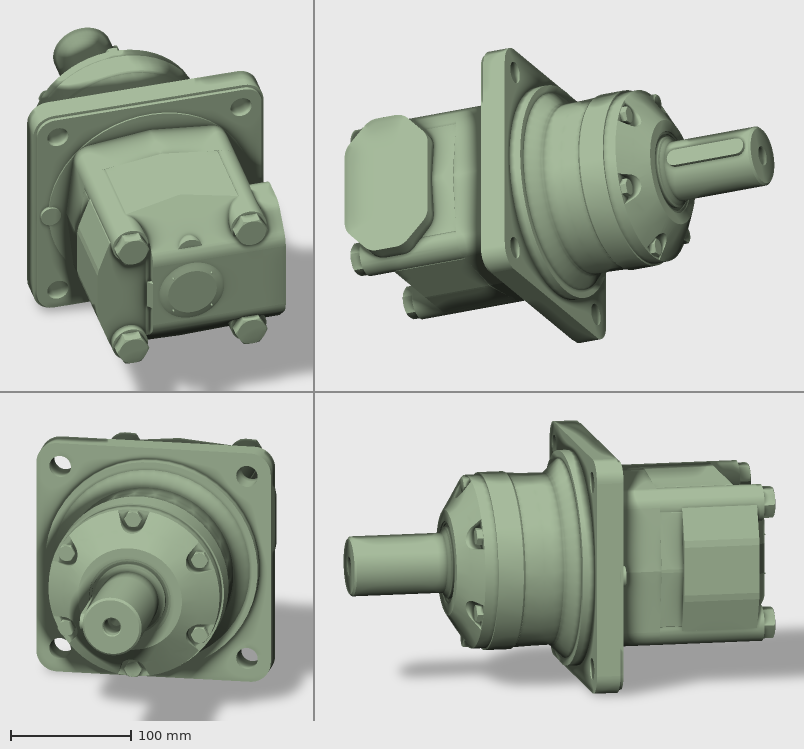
import cadquery as cq
import math


SHAFT_SHOULDER_X = 78.2
COVER_FRONT_X = 82.5
COVER_RIM_X = 101.0
RING_FRONT_X = 111.8
HOUSING_FRONT_X = 135.0
NECK_END_X = 167.3
CONE_START_X = 169.0
PILOT_FRONT_X = 180.2
FLANGE_FRONT_X = 190.0
FLANGE_BACK_X = 210.0
GEAR_SET_FRONT_X = 214.5
END_COVER_FRONT_X = 250.0
BOSS_END_X = 338.8
END_COVER_BACK_X = 345.5
TOTAL_LENGTH = 349.3

SHAFT_DIA = 50.0
JOURNAL_DIA = 60.0
SHAFT_CHAMFER = 1.7
SHOULDER_CONE_DIA = 56.5
SHOULDER_CONE_LENGTH = 2.8
SHOULDER_LIP_LENGTH = 0.7
CENTRE_SINK_DIA = 16.5
CENTRE_HOLE_DIA = 14.5
CENTRE_HOLE_DEPTH = 21.0
CENTRE_TIP_DIA = 10.0
KEY_START_X = 4.5
KEY_LENGTH = 70.2
KEY_WIDTH = 14.0
KEY_HEIGHT = 9.0
KEY_TOP_Y = 28.0

COVER_RADIUS = 72.3
COVER_FACE_RADIUS = 44.0
SEAL_RADIUS = 32.5
SEAL_DEPTH = 2.0
SEAL_STEP_RADIUS = 34.5
SEAL_STEP_DEPTH = 1.0
SCREW_COUNT = 6
SCREW_CIRCLE_RADIUS = 65.0
SCREW_ACROSS_FLATS = 13.0
SCREW_HEAD_HEIGHT = 5.2
POCKET_RADIUS = 10.5
POCKET_FLARE = 20.0

RING_RADIUS = 74.0
RING_CHAMFER = 1.7

NECK_FRONT_RADIUS = 72.5
NECK_BACK_RADIUS = 71.5
CONE_START_RADIUS = 72.5
CONE_END_RADIUS = 83.0
PILOT_RADIUS = 89.8
FLANGE_SIDE = 198.0
FLANGE_CORNER_RADIUS = 17.5
FLANGE_BACK_INSET = 2.5
FLANGE_STEP_X = 213.0
BACK_DISC_RADIUS = 87.3
MOUNT_HOLE_DIA = 18.0
MOUNT_HOLE_OFFSET = 79.0

PLUG_DIA = 17.0
PLUG_Y = -85.5
PLUG_END_X = 216.2

BOLT_OFFSET = 51.0
BOSS_RADIUS = 30.5 / 2
GEAR_RIDGE_HEIGHT = 72.0
COVER_RIDGE_HEIGHT = 72.5
RIDGE_HALF_WIDTH = 1.5
SIDE_EDGE_OFFSET = 48.2
SIDE_EDGE_HEIGHT = 66.5

BOLT_ACROSS_FLATS = 24.0
BOLT_HEAD_END_X = 348.5

PORT_PAD_LENGTH = 76.0
PORT_PAD_HEIGHT = 118.8
PORT_PAD_CHAMFER = 23.0
PORT_PAD_ROUND = 15.7
PORT_PAD_Y = 81.0

BLOCK_START_X = 268.5
BLOCK_END_X = 332.2
BLOCK_FACE_Y = -77.5
BLOCK_FACE_HALF = 20.3
BLOCK_STRIP_Y = -76.5
BLOCK_STRIP_HALF = 26.0
BLOCK_EDGE_Y = -67.0
BLOCK_EDGE_HALF = 52.0

BUMP_RADIUS = 11.0
BUMP_Z = 37.7
BUMP_END_X = 341.0
CAP_RADIUS = 28.0
CAP_TOP_RADIUS = 21.0
CAP_END_X = 348.0
PIP_DIA = 1.5
PIP_OFFSET = 16.5
LUG_START_X = 341.0
LUG_WIDTH = 25.0
LUG_OUTER_Y = -37.5
RELIEF_STEP_Y = -36.5
RELIEF_STEP_X = 334.5
RELIEF_Y = -33.2

CORNER_SIGNS = [(-1, -1), (-1, 1), (1, -1), (1, 1)]


def cross_section(x):
    """Workplane across the X axis at x, with local axes along Y and Z and normal along +X."""
    return cq.Workplane("YZ", origin=(x, 0, 0))


def cylinder(x_start, x_end, radius, y=0.0, z=0.0):
    """Cylinder along X."""
    return cross_section(x_start).center(y, z).circle(radius).extrude(x_end - x_start)


def turned(profile):
    """Solid of revolution about X from (x, radius) points that start and end on the axis."""
    return cq.Workplane("XY").polyline(profile).close().revolve(360, (0, 0, 0), (1, 0, 0))


def hex_head(x_seat, x_end, across_flats, y, z, outward):
    """Hexagonal head with corners towards +Y and -Y; outward is the X direction of its free end."""
    corner_radius = across_flats / math.sqrt(3)
    height = abs(x_end - x_seat)
    prism = cq.Workplane("YZ").polygon(6, 2 * corner_radius).extrude(outward * height)
    chamfer = (corner_radius - across_flats / 2) * math.tan(math.radians(30))
    envelope = turned([
        (0, 0),
        (0, corner_radius),
        (outward * (height - chamfer), corner_radius),
        (outward * height, across_flats / 2),
        (outward * height, 0),
    ])
    return prism.intersect(envelope).translate((x_seat, y, z))


def make_key():
    key = (
        cq.Workplane("XZ", origin=(KEY_START_X + KEY_LENGTH / 2, KEY_TOP_Y, 0))
        .slot2D(KEY_LENGTH, KEY_WIDTH)
        .extrude(KEY_HEIGHT)
    )
    return key


def make_shaft(key):
    shaft_radius = SHAFT_DIA / 2
    journal_radius = JOURNAL_DIA / 2
    cone_end_x = SHAFT_SHOULDER_X + SHOULDER_CONE_LENGTH
    sink_depth = (CENTRE_SINK_DIA - CENTRE_HOLE_DIA) / 2
    tip_radius = CENTRE_TIP_DIA / 2
    hole_radius = CENTRE_HOLE_DIA / 2
    shaft = turned([
        (0, 0),
        (0, shaft_radius - SHAFT_CHAMFER),
        (SHAFT_CHAMFER, shaft_radius),
        (SHAFT_SHOULDER_X, shaft_radius),
        (cone_end_x, SHOULDER_CONE_DIA / 2),
        (cone_end_x + SHOULDER_LIP_LENGTH, journal_radius),
        (RING_FRONT_X, journal_radius),
        (RING_FRONT_X, 0),
    ])
    centre_hole = turned([
        (0, 0),
        (0, CENTRE_SINK_DIA / 2),
        (sink_depth, hole_radius),
        (CENTRE_HOLE_DEPTH, hole_radius),
        (CENTRE_HOLE_DEPTH, tip_radius),
        (CENTRE_HOLE_DEPTH + tip_radius, 0),
    ])
    return shaft.cut(centre_hole).cut(key)


def screw_pocket():
    """Cutter for the screw pocket on the +Y side: a round end whose sides flare outwards."""
    flare = math.radians(POCKET_FLARE)
    tangent_y = SCREW_CIRCLE_RADIUS - POCKET_RADIUS * math.sin(flare)
    tangent_z = POCKET_RADIUS * math.cos(flare)
    outer_y = COVER_RADIUS + 3.5
    outer_z = tangent_z + (outer_y - tangent_y) * math.tan(flare)
    return (
        cross_section(COVER_FRONT_X)
        .moveTo(outer_y, outer_z)
        .lineTo(tangent_y, tangent_z)
        .threePointArc((SCREW_CIRCLE_RADIUS - POCKET_RADIUS, 0), (tangent_y, -tangent_z))
        .lineTo(outer_y, -outer_z)
        .close()
        .extrude(COVER_RIM_X - COVER_FRONT_X)
    )


def make_front_cover():
    cover = turned([
        (COVER_FRONT_X, 0),
        (COVER_FRONT_X, COVER_FACE_RADIUS),
        (COVER_RIM_X, COVER_RADIUS),
        (RING_FRONT_X, COVER_RADIUS),
        (RING_FRONT_X, 0),
    ])
    cover = cover.cut(cylinder(COVER_FRONT_X, RING_FRONT_X, JOURNAL_DIA / 2))
    cover = cover.cut(cylinder(COVER_FRONT_X, COVER_FRONT_X + SEAL_DEPTH, SEAL_RADIUS))
    cover = cover.cut(cylinder(COVER_FRONT_X, COVER_FRONT_X + SEAL_STEP_DEPTH, SEAL_STEP_RADIUS))
    for i in range(SCREW_COUNT):
        angle = 90 + i * 360 / SCREW_COUNT
        y = SCREW_CIRCLE_RADIUS * math.cos(math.radians(angle))
        z = SCREW_CIRCLE_RADIUS * math.sin(math.radians(angle))
        cover = cover.cut(screw_pocket().rotate((0, 0, 0), (1, 0, 0), angle))
        head_end_x = COVER_RIM_X - SCREW_HEAD_HEIGHT
        cover = cover.union(hex_head(COVER_RIM_X, head_end_x, SCREW_ACROSS_FLATS, y, z, -1))
    return cover


def make_ring():
    ring = cylinder(RING_FRONT_X, HOUSING_FRONT_X, RING_RADIUS)
    return ring.faces(">X").edges().chamfer(RING_CHAMFER)


def square_plate(x_start, x_end, side, corner_radius):
    plate = cross_section(x_start).rect(side, side).extrude(x_end - x_start)
    return plate.edges("|X").fillet(corner_radius)


def make_housing(plug):
    neck = turned([
        (HOUSING_FRONT_X, 0),
        (HOUSING_FRONT_X, NECK_FRONT_RADIUS),
        (NECK_END_X, NECK_BACK_RADIUS),
        (CONE_START_X, CONE_START_RADIUS),
        (PILOT_FRONT_X, CONE_END_RADIUS),
        (PILOT_FRONT_X, PILOT_RADIUS),
        (FLANGE_FRONT_X, PILOT_RADIUS),
        (FLANGE_FRONT_X, 0),
    ])
    flange = square_plate(FLANGE_FRONT_X, FLANGE_BACK_X, FLANGE_SIDE, FLANGE_CORNER_RADIUS)
    back_step = square_plate(
        FLANGE_BACK_X,
        FLANGE_STEP_X,
        FLANGE_SIDE - 2 * FLANGE_BACK_INSET,
        FLANGE_CORNER_RADIUS - FLANGE_BACK_INSET,
    )
    back_disc = cylinder(FLANGE_STEP_X, GEAR_SET_FRONT_X, BACK_DISC_RADIUS)
    housing = neck.union(flange).union(back_step).union(back_disc)
    for y_sign, z_sign in CORNER_SIGNS:
        y = y_sign * MOUNT_HOLE_OFFSET
        z = z_sign * MOUNT_HOLE_OFFSET
        housing = housing.cut(cylinder(FLANGE_FRONT_X, GEAR_SET_FRONT_X, MOUNT_HOLE_DIA / 2, y, z))
    return housing.cut(plug)


def make_drain_plug():
    return cylinder(FLANGE_BACK_X, PLUG_END_X, PLUG_DIA / 2, PLUG_Y)


def side_tangent_point():
    """Point where the line from the top ridge touches the round corner, for positive Y and Z."""
    run = BOLT_OFFSET
    rise = BOLT_OFFSET - GEAR_RIDGE_HEIGHT
    to_centre = math.atan2(rise, run)
    tilt = to_centre + math.asin(BOSS_RADIUS / math.hypot(run, rise))
    y = BOLT_OFFSET - BOSS_RADIUS * math.sin(tilt)
    z = BOLT_OFFSET + BOSS_RADIUS * math.cos(tilt)
    return y, z


def make_gear_set():
    """Square block whose sides rise to a central ridge, with tangent round corners."""
    near, far = side_tangent_point()
    middle = BOLT_OFFSET + BOSS_RADIUS / math.sqrt(2)
    outline = cross_section(GEAR_SET_FRONT_X).moveTo(0, GEAR_RIDGE_HEIGHT)
    outline = outline.lineTo(near, far).threePointArc((middle, middle), (far, near))
    outline = outline.lineTo(GEAR_RIDGE_HEIGHT, 0)
    outline = outline.lineTo(far, -near).threePointArc((middle, -middle), (near, -far))
    outline = outline.lineTo(0, -GEAR_RIDGE_HEIGHT)
    outline = outline.lineTo(-near, -far).threePointArc((-middle, -middle), (-far, -near))
    outline = outline.lineTo(-GEAR_RIDGE_HEIGHT, 0)
    outline = outline.lineTo(-far, near).threePointArc((-middle, middle), (-near, far))
    return outline.close().extrude(END_COVER_FRONT_X - GEAR_SET_FRONT_X)


def end_cover_core():
    """Main block of the end cover, sloped at its back end on the top and bottom."""
    side = [
        (-SIDE_EDGE_OFFSET, SIDE_EDGE_HEIGHT),
        (-RIDGE_HALF_WIDTH, COVER_RIDGE_HEIGHT),
        (RIDGE_HALF_WIDTH, COVER_RIDGE_HEIGHT),
        (SIDE_EDGE_OFFSET, SIDE_EDGE_HEIGHT),
    ]
    points = []
    for turn in range(4):
        for y, z in side:
            for _ in range(turn):
                y, z = z, -y
            points.append((y, z))
    core = cross_section(END_COVER_FRONT_X).polyline(points).close()
    core = core.extrude(END_COVER_BACK_X - END_COVER_FRONT_X)
    return core.intersect(sloped_envelope()).cut(back_relief())


def sloped_envelope():
    """Bar along Y whose back edges carry the same slope and rounding as the port pad."""
    flat_half = PORT_PAD_HEIGHT / 2 - PORT_PAD_CHAMFER
    slope_start_x = END_COVER_BACK_X - (COVER_RIDGE_HEIGHT - flat_half)
    bar = (
        cq.Workplane("XZ")
        .moveTo(END_COVER_FRONT_X, -COVER_RIDGE_HEIGHT)
        .lineTo(slope_start_x, -COVER_RIDGE_HEIGHT)
        .lineTo(END_COVER_BACK_X, -flat_half)
        .lineTo(END_COVER_BACK_X, flat_half)
        .lineTo(slope_start_x, COVER_RIDGE_HEIGHT)
        .lineTo(END_COVER_FRONT_X, COVER_RIDGE_HEIGHT)
        .close()
        .extrude(COVER_RIDGE_HEIGHT, both=True)
    )
    return bar.edges("|Y and >X").fillet(PORT_PAD_ROUND)


def back_relief():
    """Stepped cutter that sets the -Y side back behind the side block."""
    outer_y = -COVER_RIDGE_HEIGHT
    return (
        cq.Workplane("XY")
        .moveTo(BLOCK_END_X, outer_y)
        .lineTo(BLOCK_END_X, RELIEF_STEP_Y)
        .lineTo(RELIEF_STEP_X, RELIEF_STEP_Y)
        .lineTo(RELIEF_STEP_X, RELIEF_Y)
        .lineTo(END_COVER_BACK_X, RELIEF_Y)
        .lineTo(END_COVER_BACK_X, outer_y)
        .close()
        .extrude(COVER_RIDGE_HEIGHT, both=True)
    )


def port_pad():
    pad = (
        cq.Workplane("XZ", origin=(END_COVER_BACK_X - PORT_PAD_LENGTH / 2, PORT_PAD_Y, 0))
        .rect(PORT_PAD_LENGTH, PORT_PAD_HEIGHT)
        .extrude(PORT_PAD_Y)
    )
    return pad.edges("|Y").chamfer(PORT_PAD_CHAMFER).edges("|Y").fillet(PORT_PAD_ROUND)


def side_block():
    half_outline = [
        (BLOCK_EDGE_Y, BLOCK_EDGE_HALF),
        (BLOCK_STRIP_Y, BLOCK_STRIP_HALF),
        (BLOCK_FACE_Y, BLOCK_FACE_HALF),
    ]
    outline = [(-BOLT_OFFSET, BLOCK_EDGE_HALF)] + half_outline
    mirrored = [(y, -z) for y, z in reversed(outline)]
    block = cross_section(BLOCK_START_X).polyline(outline + mirrored).close()
    return block.extrude(BLOCK_END_X - BLOCK_START_X)


def back_cap():
    """Low conical cap with four small pips on the back face."""
    cap = turned([
        (BOSS_END_X, 0),
        (BOSS_END_X, CAP_RADIUS),
        (END_COVER_BACK_X, CAP_RADIUS),
        (CAP_END_X, CAP_TOP_RADIUS),
        (CAP_END_X, 0),
    ])
    for y_sign, z_sign in CORNER_SIGNS:
        pip = cylinder(BOSS_END_X, TOTAL_LENGTH, PIP_DIA / 2, y_sign * PIP_OFFSET, z_sign * PIP_OFFSET)
        cap = cap.union(pip)
    return cap


def back_lug():
    """Small wedge on the -Y side of the back end."""
    return (
        cq.Workplane("XY", origin=(0, 0, -LUG_WIDTH / 2))
        .moveTo(LUG_START_X, RELIEF_Y)
        .lineTo(LUG_START_X, LUG_OUTER_Y)
        .lineTo(END_COVER_BACK_X, RELIEF_Y)
        .close()
        .extrude(LUG_WIDTH)
    )


def make_end_cover():
    cover = end_cover_core().union(port_pad()).union(side_block())
    cover = cover.union(cylinder(BLOCK_START_X, BUMP_END_X, BUMP_RADIUS, 0, BUMP_Z))
    cover = cover.union(back_cap()).union(back_lug())
    for y_sign, z_sign in CORNER_SIGNS:
        y = y_sign * BOLT_OFFSET
        z = z_sign * BOLT_OFFSET
        cover = cover.union(cylinder(END_COVER_FRONT_X, BOSS_END_X, BOSS_RADIUS, y, z))
        cover = cover.union(hex_head(BOSS_END_X, BOLT_HEAD_END_X, BOLT_ACROSS_FLATS, y, z, 1))
    return cover


key = make_key()
shaft = make_shaft(key)
front_cover = make_front_cover()
ring = make_ring()
drain_plug = make_drain_plug()
housing = make_housing(drain_plug)
gear_set = make_gear_set()
end_cover = make_end_cover()
result = cq.Compound.makeCompound([
    shaft.solids().val(),
    key.solids().val(),
    front_cover.solids().val(),
    ring.solids().val(),
    housing.solids().val(),
    drain_plug.solids().val(),
    gear_set.solids().val(),
    end_cover.solids().val(),
])